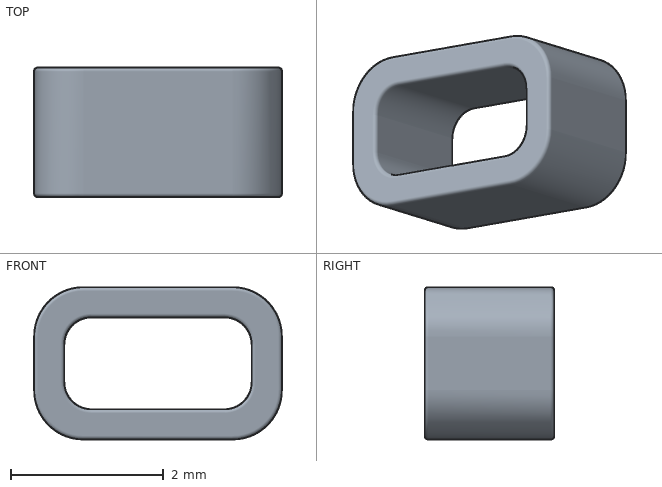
import cadquery as cq

width = 3.25
depth = 1.7
height = 2.0
wall = 0.4
outer_corner_radius = 0.65
inner_corner_radius = 0.35
rim_radius = 0.05

opening_width = width - 2 * wall
opening_height = height - 2 * wall


def rounded_bar(size_x, size_z, corner_radius):
    """Bar along Y, centred on the origin, with its four long edges rounded."""
    return cq.Workplane("XY").box(size_x, depth, size_z).edges("|Y").fillet(corner_radius)


outer_body = rounded_bar(width, height, outer_corner_radius)
opening = rounded_bar(opening_width, opening_height, inner_corner_radius)
sleeve = outer_body.cut(opening)

result = sleeve.faces("<Y or >Y").edges().fillet(rim_radius)